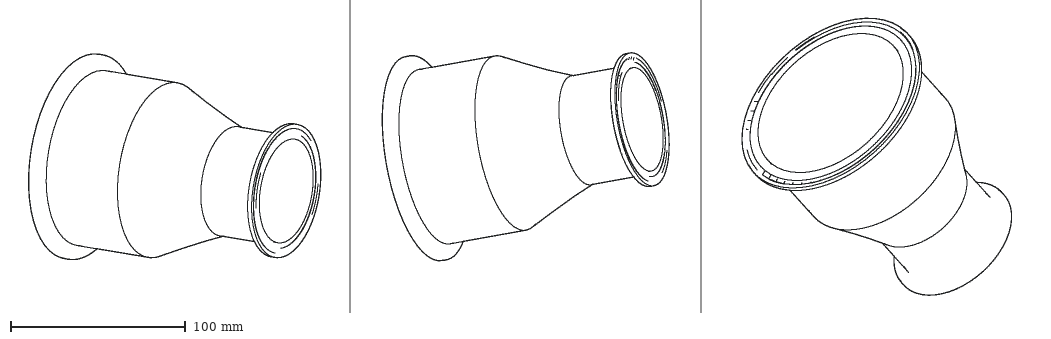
import cadquery as cq
import math

length = 136.5

large_flange_radius = 118.9 / 2
large_tube_radius = 101.6 / 2
large_bore_radius = 97.3 / 2

small_flange_radius = 77.4 / 2
small_tube_radius = 63.5 / 2
small_bore_radius = 60.2 / 2

taper_start = 54.2
taper_end = 98.5
bore_taper_start = 25.4
taper_sag = 0.5
bore_blend_radius = 6.8

rim_thickness = 2.7
flange_angle = math.radians(20)
rim_fillet = 0.5
root_fillet = 1.1

groove_rim_offset = 4.0
groove_width = 3.0
groove_depth = 1.1
groove_lip_fillet = 0.4


def flange_root(flange_radius, tube_radius):
    """Axial distance from the face to where the sloped back meets the tube."""
    return rim_thickness + (flange_radius - tube_radius) * math.tan(flange_angle)


def sagged_middle(start, end):
    """Midpoint of a taper line, lowered by the sag towards the axis."""
    return ((start[0] + end[0]) / 2, (start[1] + end[1]) / 2 - taper_sag)


def fillet_circle(body, x, radius, fillet):
    """Round the circular edge that lies at the given place along the axis."""
    tolerance = 0.001

    def matches(edge):
        return abs(edge.Center().x - x) < tolerance and abs(edge.radius() - radius) < tolerance

    edges = [edge for edge in body.edges("%CIRCLE").vals() if matches(edge)]
    return body.newObject(edges).fillet(fillet)


def make_body():
    """Revolve the sharp-edged wall profile of the whole reducer."""
    large_root = flange_root(large_flange_radius, large_tube_radius)
    small_root = length - flange_root(small_flange_radius, small_tube_radius)
    outer_start = (taper_start, large_tube_radius)
    outer_end = (taper_end, small_tube_radius)
    inner_start = (bore_taper_start, large_bore_radius)
    inner_end = (taper_end, small_bore_radius)
    profile = (
        cq.Workplane("XY")
        .moveTo(0, large_bore_radius)
        .lineTo(0, large_flange_radius)
        .lineTo(rim_thickness, large_flange_radius)
        .lineTo(large_root, large_tube_radius)
        .lineTo(*outer_start)
        .threePointArc(sagged_middle(outer_start, outer_end), outer_end)
        .lineTo(small_root, small_tube_radius)
        .lineTo(length - rim_thickness, small_flange_radius)
        .lineTo(length, small_flange_radius)
        .lineTo(length, small_bore_radius)
        .lineTo(*inner_end)
        .threePointArc(sagged_middle(inner_start, inner_end), inner_start)
        .close()
    )
    return profile.revolve(360, (0, 0, 0), (1, 0, 0))


def cut_groove(body, face_x, inward, flange_radius):
    """Cut a round-bottomed gasket groove with rounded lips into a flange face."""
    middle = flange_radius - groove_rim_offset
    inner_lip = middle - groove_width / 2
    outer_lip = middle + groove_width / 2
    groove = (
        cq.Workplane("XY")
        .moveTo(face_x, inner_lip)
        .threePointArc((face_x + inward * groove_depth, middle), (face_x, outer_lip))
        .close()
        .revolve(360, (0, 0, 0), (1, 0, 0))
    )
    body = body.cut(groove)
    for lip_radius in (inner_lip, outer_lip):
        body = fillet_circle(body, face_x, lip_radius, groove_lip_fillet)
    return body


def finish_flange(body, face_x, inward, flange_radius, tube_radius):
    """Round the back of a clamp flange and add the gasket groove to its face."""
    rim_x = face_x + inward * rim_thickness
    root_x = face_x + inward * flange_root(flange_radius, tube_radius)
    body = fillet_circle(body, rim_x, flange_radius, rim_fillet)
    body = fillet_circle(body, root_x, tube_radius, root_fillet)
    return cut_groove(body, face_x, inward, flange_radius)


result = make_body()
result = fillet_circle(result, bore_taper_start, large_bore_radius, bore_blend_radius)
result = finish_flange(result, 0, 1, large_flange_radius, large_tube_radius)
result = finish_flange(result, length, -1, small_flange_radius, small_tube_radius)